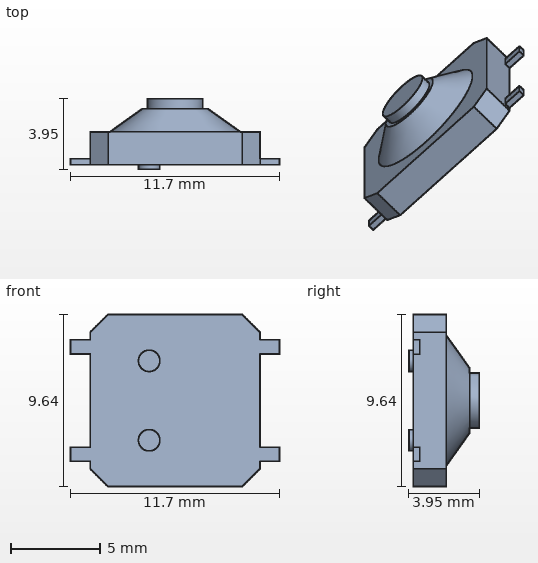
import cadquery as cq

body_width = 9.5
body_height = 9.64
body_depth = 1.85
corner_chamfer = 1.0

dome_base_diameter = 7.3
dome_top_diameter = 3.65
dome_depth = 1.3
button_diameter = 3.1
button_depth = 0.55

terminal_span = 11.7
terminal_height = 0.8
terminal_thickness = 0.35
terminal_pitch = 6.0

peg_diameter = 1.2
peg_length = 0.25
peg_x = -1.45
peg_pitch = 4.44


def plane_at(y):
    """Plane at the given Y, parallel to XZ, with its normal toward +Y."""
    return cq.Plane(origin=(0, y, 0), xDir=(1, 0, 0), normal=(0, 1, 0))


def make_body():
    block = cq.Workplane("XY").box(body_width, body_depth, body_height, centered=(True, False, True))
    return block.edges("|Y").chamfer(corner_chamfer)


def make_dome():
    half_section = (
        cq.Workplane("XY")
        .moveTo(0, body_depth)
        .lineTo(dome_base_diameter / 2, body_depth)
        .lineTo(dome_top_diameter / 2, body_depth + dome_depth)
        .lineTo(0, body_depth + dome_depth)
        .close()
    )
    return half_section.revolve(360, (0, 0, 0), (0, 1, 0))


def make_button():
    return cq.Workplane(plane_at(body_depth + dome_depth)).circle(button_diameter / 2).extrude(button_depth)


def make_terminal_bar(z):
    """Bar through the housing whose two ends form a pair of opposite terminals."""
    bar = cq.Workplane("XY").box(
        terminal_span, terminal_thickness, terminal_height, centered=(True, False, True)
    )
    return bar.translate((0, 0, z))


def make_peg(z):
    peg = cq.Workplane(plane_at(-peg_length)).circle(peg_diameter / 2).extrude(peg_length)
    return peg.translate((peg_x, 0, z))


result = make_body().union(make_dome()).union(make_button())
for side in (-1, 1):
    result = result.union(make_terminal_bar(side * terminal_pitch / 2))
    result = result.union(make_peg(side * peg_pitch / 2))